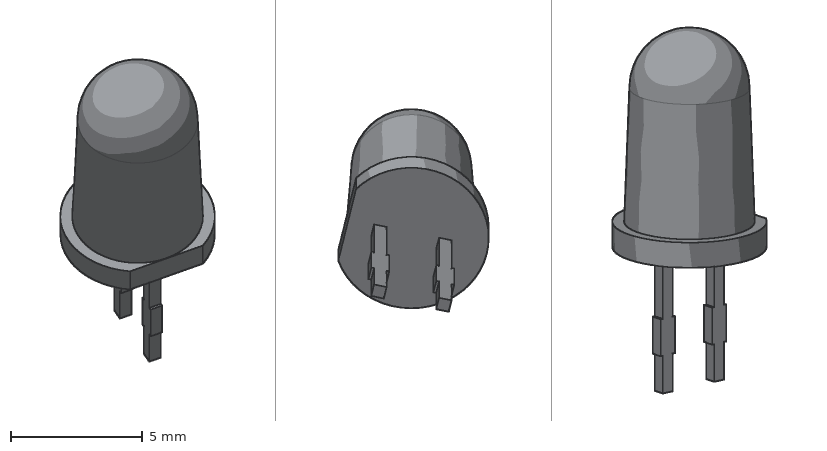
import cadquery as cq

total_height = 14.1
lead_length = 5.5
flange_height = 1.0
dome_radius = 2.3
dome_base_z = total_height - lead_length - dome_radius

flange_radius = 2.95
flat_offset = 2.51
lens_base_radius = 2.5

lead_pitch = 2.54
lead_size = 0.5
wide_width = 0.7
wide_top_depth = 2.54
wide_length = 1.47


def make_flange():
    """Round flange cut by one flat on the +X side."""
    disc = cq.Workplane("XY").circle(flange_radius).extrude(flange_height)
    keep = cq.Workplane("XY").box(
        flange_radius + flat_offset, 2 * flange_radius, flange_height, centered=(False, True, False)
    ).translate((-flange_radius, 0, 0))
    return disc.intersect(keep)


def make_lens():
    """Tapered body closed by a hemispherical dome."""
    arc_mid = dome_radius * 0.5 ** 0.5
    return (
        cq.Workplane("XZ")
        .moveTo(0, flange_height)
        .lineTo(lens_base_radius, flange_height)
        .lineTo(dome_radius, dome_base_z)
        .threePointArc((arc_mid, dome_base_z + arc_mid), (0, dome_base_z + dome_radius))
        .close()
        .revolve(360, (0, 0, 0), (0, 1, 0))
    )


def make_lead(x):
    """Square lead hanging from the flange, with its widened stretch."""
    shank = cq.Workplane("XY").center(x, 0).rect(lead_size, lead_size).extrude(-lead_length)
    wide = (
        cq.Workplane("XY", origin=(x, 0, -wide_top_depth))
        .rect(wide_width, lead_size)
        .extrude(-wide_length)
    )
    return shank.union(wide)


result = make_flange().union(make_lens())
for side in (-1, 1):
    result = result.union(make_lead(side * lead_pitch / 2))